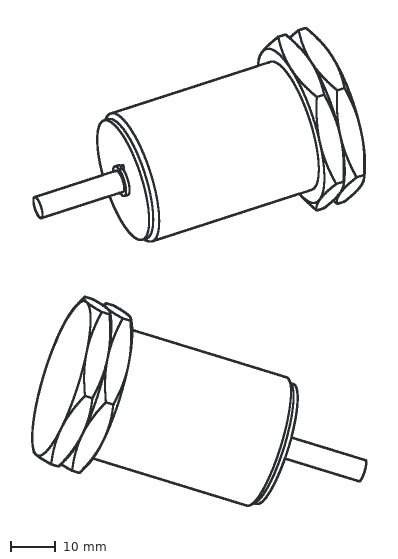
import cadquery as cq
import math

total_length = 72.0
nut_across_flats = 36.0
nut_stack_length = 10.0
nut_count = 2
nut_chamfer_angle = 30.0
body_diameter = 30.0
body_chamfer = 1.0
rim_length = 1.0
collar_diameter = 7.0
collar_length = 0.9
cable_diameter = 5.0
cable_length = 20.0
nut_envelope_margin = 0.7
indicator_radius = 0.5
indicator_offset = 4.1

nut_thickness = nut_stack_length / nut_count
nut_corner_radius = nut_across_flats / math.sqrt(3)
cable_end = -total_length
collar_face = cable_end + cable_length
rim_face = collar_face + collar_length
rim_start = rim_face + rim_length
body_radius = body_diameter / 2
rim_radius = body_radius - body_chamfer


def make_nut(rear_y):
    """Hexagonal nut with corners on +X and -X and both faces chamfered."""
    nut_plane = cq.Workplane("XZ", origin=(0, rear_y, 0))
    hexagon = nut_plane.polygon(6, 2 * nut_corner_radius).extrude(nut_thickness)
    face_radius = nut_across_flats / 2
    outer_radius = nut_corner_radius + nut_envelope_margin
    chamfer_depth = (outer_radius - face_radius) * math.tan(math.radians(nut_chamfer_angle))
    front_y = rear_y - nut_thickness
    envelope = (
        cq.Workplane("XY")
        .moveTo(0, rear_y)
        .lineTo(face_radius, rear_y)
        .lineTo(outer_radius, rear_y - chamfer_depth)
        .lineTo(outer_radius, front_y + chamfer_depth)
        .lineTo(face_radius, front_y)
        .lineTo(0, front_y)
        .close()
        .revolve(360, (0, 0, 0), (0, 1, 0))
    )
    return hexagon.intersect(envelope)


def make_sensor():
    """Turned barrel with a chamfered front, stepped rim, collar and cable."""
    collar_radius = collar_diameter / 2
    cable_radius = cable_diameter / 2
    return (
        cq.Workplane("XY")
        .moveTo(0, 0)
        .lineTo(body_radius, 0)
        .lineTo(body_radius, rim_start + body_chamfer)
        .lineTo(rim_radius, rim_start)
        .lineTo(rim_radius, rim_face)
        .lineTo(collar_radius, rim_face)
        .lineTo(collar_radius, collar_face)
        .lineTo(cable_radius, collar_face)
        .lineTo(cable_radius, cable_end)
        .lineTo(0, cable_end)
        .close()
        .revolve(360, (0, 0, 0), (0, 1, 0))
    )


def make_indicator():
    """Small dome centred on the front face just above the collar."""
    return cq.Workplane("XY").sphere(indicator_radius).translate((0, rim_face, indicator_offset))


result = make_sensor().union(make_indicator())
for index in range(nut_count):
    result = result.union(make_nut(-index * nut_thickness))